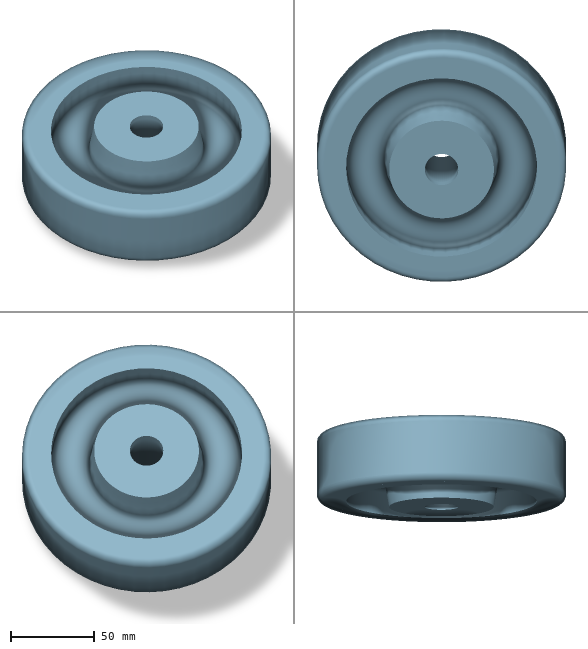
import cadquery as cq
import math

wheel_radius = 75.0
tread_width = 40.0
tread_edge_radius = 4.0
rim_outer_radius = 66.5
rim_inner_radius = 57.5
web_thickness = 6.9
hub_length = 47.0
hub_end_radius = 31.5
hub_draft_angle = 10.0
bore_radius = 10.0
recess_fillet_radius = 3.0

recess_depth = (tread_width - web_thickness) / 2
boss_height = (hub_length - web_thickness) / 2
hub_foot_radius = hub_end_radius + boss_height * math.tan(math.radians(hub_draft_angle))


def make_tyre():
    """Plain ring with rounded outer edges, fitted around the rim."""
    outside = (
        cq.Workplane("XY")
        .cylinder(tread_width, wheel_radius)
        .edges("%CIRCLE")
        .fillet(tread_edge_radius)
    )
    core = cq.Workplane("XY").cylinder(tread_width, rim_outer_radius)
    return outside.cut(core)


def recess_profile(side):
    """Half section of the ring-shaped recess between hub and rim; side is +1 or -1."""
    floor = side * web_thickness / 2
    hub_end = side * hub_length / 2
    return (
        cq.Workplane("XZ")
        .moveTo(hub_foot_radius, floor)
        .lineTo(rim_inner_radius, floor)
        .lineTo(rim_inner_radius, hub_end)
        .lineTo(hub_end_radius, hub_end)
        .close()
    )


def make_recess(side):
    """Ring-shaped cutter with rounded corners where it meets the web."""
    floor_face = "<Z" if side > 0 else ">Z"
    cutter = recess_profile(side).revolve(360, (0, 0, 0), (0, 1, 0))
    return cutter.faces(floor_face).edges("%CIRCLE").fillet(recess_fillet_radius)


def make_wheel_body():
    """Rim, web and tapered hub in one piece, with a through bore."""
    body = cq.Workplane("XY").cylinder(hub_length, rim_outer_radius)

    for side in (1, -1):
        body = body.cut(make_recess(side))
        rim_trim = (
            cq.Workplane("XY", origin=(0, 0, side * tread_width / 2))
            .circle(rim_outer_radius)
            .circle(rim_inner_radius)
            .extrude(side * (boss_height - recess_depth))
        )
        body = body.cut(rim_trim)

    bore = cq.Workplane("XY").cylinder(hub_length, bore_radius)
    return body.cut(bore)


tyre = make_tyre()
wheel_body = make_wheel_body()

result = cq.Compound.makeCompound([tyre.solids().val(), wheel_body.solids().val()])